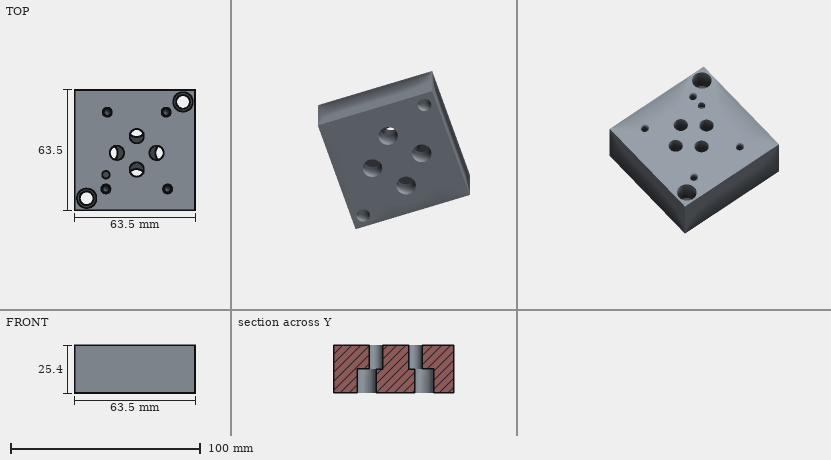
import cadquery as cq
import math

BLOCK_SIDE = 63.5
BLOCK_HEIGHT = 25.4

MOUNT_OFFSET = 25.4
MOUNT_DIAMETER = 7.14
MOUNT_BORE_DIAMETER = 10.31
MOUNT_BORE_DEPTH = BLOCK_HEIGHT / 2

PATTERN_ORIGIN_X = 16.5
PATTERN_ORIGIN_Y = 20.0
BOLT_PLACES = [(0, 0), (40.5, -0.75), (40.5, 31.75), (0, 31)]
PORT_PLACES = [(12.7, 15.5), (30.2, 15.5), (21.5, 25.9), (21.5, 5.1)]
PIN_PLACE = (33, 31.75)

BOLT_DIAMETER = 3.68
BOLT_DEPTH = 12.7
BOLT_POINT_ANGLE = 118
BOLT_MOUTH_DIAMETER = 4.83
BOLT_MOUTH_ANGLE = 90

PIN_DIAMETER = 4.01
PIN_DEPTH = 4.0

PORT_DIAMETER = 7.49
PORT_DEPTH = BLOCK_HEIGHT / 2
CONNECTION_DIAMETER = 10.31
CONNECTION_DEPTH = BLOCK_HEIGHT - PORT_DEPTH
CONNECTION_CENTER_X = 0.85
CONNECTION_CENTER_Y = -1.55
CONNECTION_OFFSET_X = 15.15
CONNECTION_OFFSET_Y = 13.67


def pattern_point(place):
    """Convert an (along, across) pattern place to block X and Y."""
    along, across = place
    return PATTERN_ORIGIN_X - across, PATTERN_ORIGIN_Y - along


def cone_height(diameter, included_angle):
    """Height of a full cone from its base diameter and included angle."""
    return diameter / 2 / math.tan(math.radians(included_angle / 2))


def cylinders(points, diameter, bottom, height):
    """Upright cylinders at the given points, standing on Z = bottom."""
    return cq.Workplane("XY", origin=(0, 0, bottom)).pushPoints(points).circle(diameter / 2).extrude(height)


def make_block():
    return cq.Workplane("XY").box(BLOCK_SIDE, BLOCK_SIDE, BLOCK_HEIGHT, centered=(True, True, False))


def cut_mounting_holes(body):
    points = [(MOUNT_OFFSET, MOUNT_OFFSET), (-MOUNT_OFFSET, -MOUNT_OFFSET)]
    bore_floor = BLOCK_HEIGHT - MOUNT_BORE_DEPTH
    body = body.cut(cylinders(points, MOUNT_DIAMETER, 0, BLOCK_HEIGHT))
    return body.cut(cylinders(points, MOUNT_BORE_DIAMETER, bore_floor, MOUNT_BORE_DEPTH))


def cut_bolt_holes(body):
    bolt_radius = BOLT_DIAMETER / 2
    mouth_radius = BOLT_MOUTH_DIAMETER / 2
    mouth_depth = cone_height(BOLT_MOUTH_DIAMETER - BOLT_DIAMETER, BOLT_MOUTH_ANGLE)
    point_height = cone_height(BOLT_DIAMETER, BOLT_POINT_ANGLE)
    profile = [
        (0, 0),
        (mouth_radius, 0),
        (bolt_radius, -mouth_depth),
        (bolt_radius, -BOLT_DEPTH),
        (0, -BOLT_DEPTH - point_height),
    ]
    cutter = cq.Workplane("XZ").polyline(profile).close().revolve(360, (0, 0), (0, 1))
    for place in BOLT_PLACES:
        x, y = pattern_point(place)
        body = body.cut(cutter.translate((x, y, BLOCK_HEIGHT)))
    return body


def cut_pin_hole(body):
    points = [pattern_point(PIN_PLACE)]
    return body.cut(cylinders(points, PIN_DIAMETER, BLOCK_HEIGHT - PIN_DEPTH, PIN_DEPTH))


def cut_ports(body):
    points = [pattern_point(place) for place in PORT_PLACES]
    return body.cut(cylinders(points, PORT_DIAMETER, BLOCK_HEIGHT - PORT_DEPTH, PORT_DEPTH))


def cut_connections(body):
    points = []
    for side in (1, -1):
        points.append((CONNECTION_CENTER_X + side * CONNECTION_OFFSET_X, CONNECTION_CENTER_Y))
        points.append((CONNECTION_CENTER_X, CONNECTION_CENTER_Y + side * CONNECTION_OFFSET_Y))
    return body.cut(cylinders(points, CONNECTION_DIAMETER, 0, CONNECTION_DEPTH))


result = make_block()
result = cut_mounting_holes(result)
result = cut_bolt_holes(result)
result = cut_pin_hole(result)
result = cut_ports(result)
result = cut_connections(result)